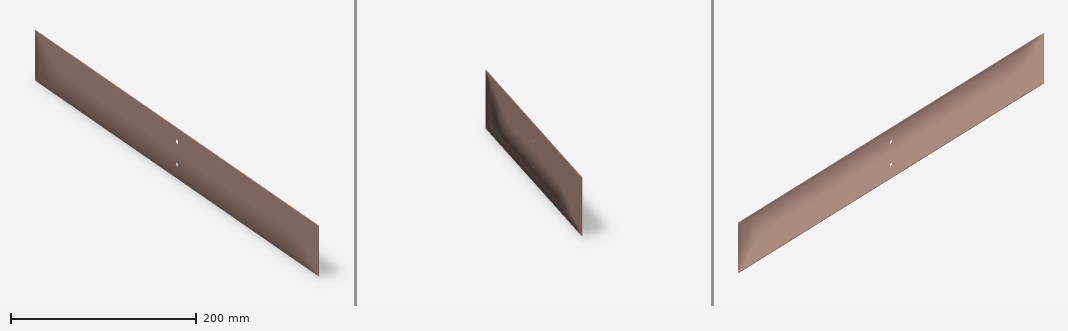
import cadquery as cq

length = 494.0
height = 65.0
thickness = 0.8

hole_diameter = 5.0
hole_spacing = 29.5

strip = cq.Workplane("XY").box(length, thickness, height)

result = (
    strip.faces("<Y")
    .workplane(origin=(0, 0, 0))
    .pushPoints([(0, -hole_spacing / 2), (0, hole_spacing / 2)])
    .hole(hole_diameter)
)